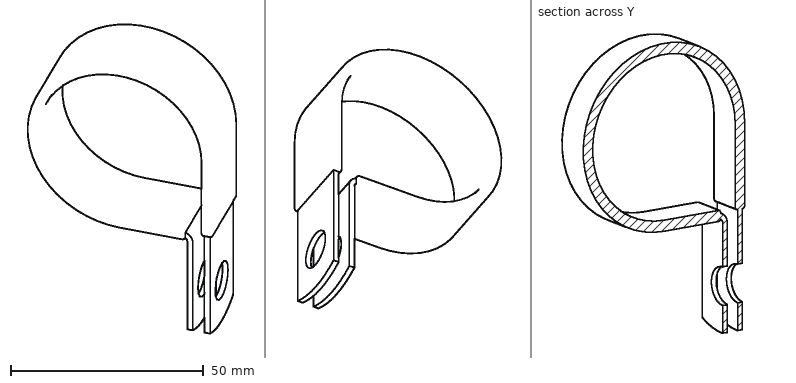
import cadquery as cq
import math

bore_radius = 22.225
strap_thickness = 1.524
strap_width = 19.05
cover = 0.79375
leg_gap = 3.175
bend_inner_radius = 1.4
cushion_arm_end_x = 17.8
hole_diameter = 10.31875
hole_drop = 42.8625
hole_to_tip = 12.7
tip_radius = 22.225

cushion_thickness = strap_thickness + 2 * cover
cushion_width = strap_width + 2 * cover
cushion_outer_radius = bore_radius + cushion_thickness
strap_inner_radius = bore_radius + cover
strap_outer_radius = strap_inner_radius + strap_thickness

near_leg_outer_x = strap_inner_radius - leg_gap
near_leg_inner_x = near_leg_outer_x - strap_thickness
bend_outer_radius = bend_inner_radius + strap_thickness
bend_center_x = near_leg_inner_x - bend_inner_radius
bend_center_z = -strap_outer_radius - bend_inner_radius

cushion_side_end_z = -strap_inner_radius
tip_z = -hole_drop - hole_to_tip
tip_arc_rise = tip_radius - math.sqrt(tip_radius**2 - (strap_width / 2) ** 2)


def on_circle(radius, angle_degrees, center_x=0.0, center_z=0.0):
    """Point (x, z) on a circle at the given angle from +X."""
    angle = math.radians(angle_degrees)
    return (center_x + radius * math.cos(angle), center_z + radius * math.sin(angle))


def extrude_centered(outline, width):
    """Extrude a closed XZ outline symmetrically about Y = 0."""
    return outline.close().extrude(width / 2, both=True)


def make_cushion():
    """Rounded-edge liner: straight side, three-quarter loop and straight arm."""
    loop_middle = 135
    outline = (
        cq.Workplane("XZ")
        .moveTo(cushion_outer_radius, cushion_side_end_z)
        .lineTo(cushion_outer_radius, 0)
        .threePointArc(on_circle(cushion_outer_radius, loop_middle), (0, -cushion_outer_radius))
        .lineTo(cushion_arm_end_x, -cushion_outer_radius)
        .lineTo(cushion_arm_end_x, -bore_radius)
        .lineTo(0, -bore_radius)
        .threePointArc(on_circle(bore_radius, loop_middle), (bore_radius, 0))
        .lineTo(bore_radius, cushion_side_end_z)
    )
    return extrude_centered(outline, cushion_width).edges().fillet(cover)


def make_far_leg():
    """Straight leg continuing down from the side of the loop."""
    outline = (
        cq.Workplane("XZ")
        .moveTo(strap_inner_radius, 0)
        .lineTo(strap_outer_radius, 0)
        .lineTo(strap_outer_radius, tip_z)
        .lineTo(strap_inner_radius, tip_z)
    )
    return extrude_centered(outline, strap_width)


def make_near_leg():
    """Leg bent down from the horizontal arm below the loop."""
    bend_middle = 45
    outer_middle = on_circle(bend_outer_radius, bend_middle, bend_center_x, bend_center_z)
    inner_middle = on_circle(bend_inner_radius, bend_middle, bend_center_x, bend_center_z)
    outline = (
        cq.Workplane("XZ")
        .moveTo(0, -strap_inner_radius)
        .lineTo(bend_center_x, -strap_inner_radius)
        .threePointArc(outer_middle, (near_leg_outer_x, bend_center_z))
        .lineTo(near_leg_outer_x, tip_z)
        .lineTo(near_leg_inner_x, tip_z)
        .lineTo(near_leg_inner_x, bend_center_z)
        .threePointArc(inner_middle, (bend_center_x, -strap_outer_radius))
        .lineTo(0, -strap_outer_radius)
    )
    return extrude_centered(outline, strap_width)


def make_leg_envelope():
    """Block spanning both legs, with the rounded tip and the bolt hole."""
    half_width = strap_width / 2
    return (
        cq.Workplane("YZ")
        .moveTo(-half_width, 0)
        .lineTo(-half_width, tip_z + tip_arc_rise)
        .threePointArc((0, tip_z), (half_width, tip_z + tip_arc_rise))
        .lineTo(half_width, 0)
        .close()
        .moveTo(0, -hole_drop)
        .circle(hole_diameter / 2)
        .extrude(cushion_outer_radius)
    )


legs = make_far_leg().union(make_near_leg()).intersect(make_leg_envelope())
result = make_cushion().union(legs)